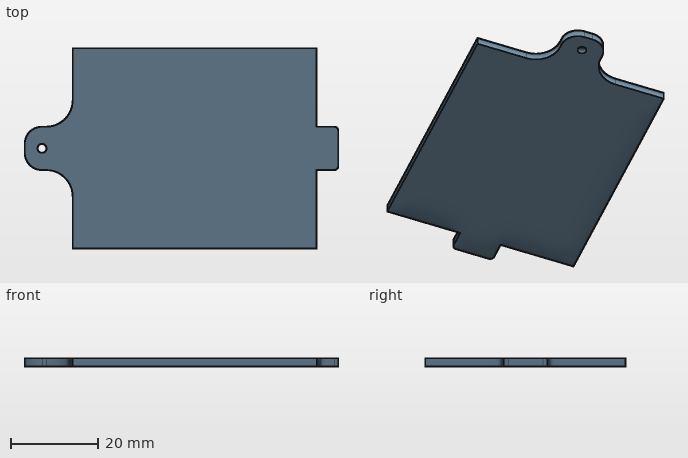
import cadquery as cq

plate_length = 56.0
plate_width = 46.0
thickness = 2.0

tab_width = 10.0

hanger_length = 11.0
hanger_corner_radius = 4.0
hanger_root_radius = 6.0
hole_diameter = 2.0
hole_edge_distance = 4.0

tongue_length = 5.0
tongue_corner_radius = 1.0

overall_length = hanger_length + plate_length + tongue_length
hanger_end_x = -overall_length / 2
plate_left_x = hanger_end_x + hanger_length
plate_right_x = plate_left_x + plate_length


def block(start_x, length, width):
    """Flat block on the XY plane, centred in Y and starting at start_x."""
    return cq.Workplane("XY").box(length, width, thickness, centered=(False, True, False)).translate(
        (start_x, 0, 0)
    )


def make_body():
    """Plate and both tabs, before any rounding."""
    plate = block(plate_left_x, plate_length, plate_width)
    hanger = block(hanger_end_x, hanger_length, tab_width)
    tongue = block(plate_right_x, tongue_length, tab_width)
    return plate.union(hanger).union(tongue)


def round_edge_pair(body, x, radius):
    """Fillet the two vertical edges at x on the sides of a tab."""
    for side in (-1, 1):
        edge_point = (x, side * tab_width / 2, thickness / 2)
        body = body.edges(cq.selectors.NearestToPointSelector(edge_point)).fillet(radius)
    return body


def drill_hanging_hole(body):
    """Through hole on the hanging tab's centreline."""
    hole = (
        cq.Workplane("XY")
        .center(hanger_end_x + hole_edge_distance, 0)
        .circle(hole_diameter / 2)
        .extrude(thickness)
    )
    return body.cut(hole)


result = make_body()
result = round_edge_pair(result, plate_left_x, hanger_root_radius)
result = round_edge_pair(result, hanger_end_x, hanger_corner_radius)
result = round_edge_pair(result, hanger_end_x + overall_length, tongue_corner_radius)
result = drill_hanging_hole(result)